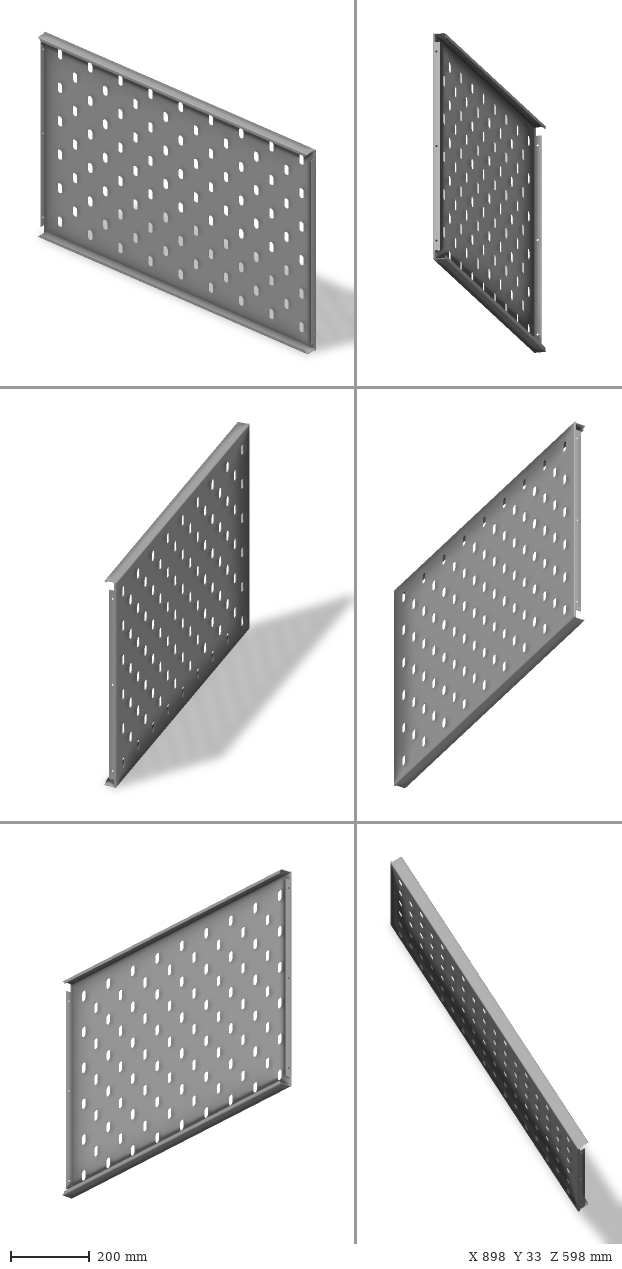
import cadquery as cq

length = 898.0
depth = 33.0
height = 598.0
sheet = 1.5
bend_radius = 3.1

side_depth = 20.0
side_end_gap = 23.0
bend_strip = 5.0
long_flange_inset = 3.05
lip_height = 10.0
lip_inset = 4.5
lip_taper = 3.0

columns = 9
rows = 6
column_span = 800.0
pitch = column_span / (columns - 1)
slot_length = 30.0
slot_width = 15.0

hole_diameter = 5.0
hole_from_back = 10.0
hole_from_end = 48.5

back = depth / 2
front = -depth / 2
top = height / 2
side = length / 2


def channel():
    """Panel with its top and bottom flanges and their turned-in lips, as one bent sheet."""
    outer = (
        cq.Workplane("XY").box(length, depth, height)
        .edges("|X").fillet(bend_radius)
    )
    inner = (
        cq.Workplane("XY").box(length, depth - 2 * sheet, height - 2 * sheet)
        .edges("|X").fillet(bend_radius - sheet)
    )
    opening = (
        cq.Workplane("XY").box(length, depth / 2, height - 2 * lip_height)
        .translate((0, front + depth / 4, 0))
    )
    return outer.cut(inner).cut(opening)


def side_channel():
    """Panel with its two side flanges, open at the front."""
    outer = (
        cq.Workplane("XY").box(length, side_depth, height)
        .edges("|Z and >Y").fillet(bend_radius)
    )
    inner = (
        cq.Workplane("XY").box(length - 2 * sheet, side_depth, height)
        .edges("|Z and >Y").fillet(bend_radius - sheet)
        .translate((0, -sheet, 0))
    )
    return outer.cut(inner).translate((0, back - side_depth / 2, 0))


def flange_end_cutter(x_sign):
    """Block that trims the ends of the top and bottom flanges and tapers their lips."""
    flange_end = side - long_flange_inset
    lip_start = flange_end - lip_inset
    reach = depth - bend_strip
    trim = (
        cq.Workplane("XY").box(long_flange_inset, reach, height)
        .translate((x_sign * (side - long_flange_inset / 2), front + reach / 2, 0))
    )
    for z_sign in (1, -1):
        lip_bend = z_sign * (top - bend_radius)
        lip_end = z_sign * (top - lip_height)
        taper = (
            cq.Workplane("XZ", origin=(0, front + sheet, 0))
            .moveTo(x_sign * flange_end, lip_bend)
            .lineTo(x_sign * lip_start, lip_bend)
            .lineTo(x_sign * (lip_start - lip_taper), lip_end)
            .lineTo(x_sign * flange_end, lip_end)
            .close()
            .extrude(sheet)
        )
        trim = trim.union(taper)
    return trim


def side_gap_cutter():
    """Blocks that shorten the side flanges at the top and bottom."""
    reach = side_depth - bend_strip
    gap = cq.Workplane("XY").box(length, reach, side_end_gap)
    y = back - bend_strip - reach / 2
    z = top - side_end_gap / 2
    return gap.translate((0, y, z)).union(gap.translate((0, y, -z)))


def slot_grid(column_count, row_count):
    """Cutters for a centred grid of upright slots."""
    return (
        cq.Workplane("XZ", origin=(0, back, 0))
        .rarray(pitch, pitch, column_count, row_count)
        .slot2D(slot_length, slot_width, 90)
        .extrude(sheet)
    )


def screw_holes():
    """Cutters for three holes through both side flanges."""
    z = top - hole_from_end
    y = back - hole_from_back
    return (
        cq.Workplane("YZ")
        .pushPoints([(y, -z), (y, 0), (y, z)])
        .circle(hole_diameter / 2)
        .extrude(side, both=True)
    )


long_folds = channel()
for x_sign in (1, -1):
    long_folds = long_folds.cut(flange_end_cutter(x_sign))
side_folds = side_channel().cut(side_gap_cutter()).cut(screw_holes())

rounded_sides = (
    cq.Workplane("XY").box(length, depth, height)
    .edges("|Z and >Y").fillet(bend_radius)
)
rounded_top_and_bottom = (
    cq.Workplane("XY").box(length, depth, height)
    .edges("|X and >Y").fillet(bend_radius)
)
long_folds = long_folds.intersect(rounded_sides)
side_folds = side_folds.intersect(rounded_top_and_bottom)
tray = long_folds.union(side_folds)

slots = slot_grid(columns, rows).union(slot_grid(columns - 1, rows - 1))
result = tray.cut(slots)